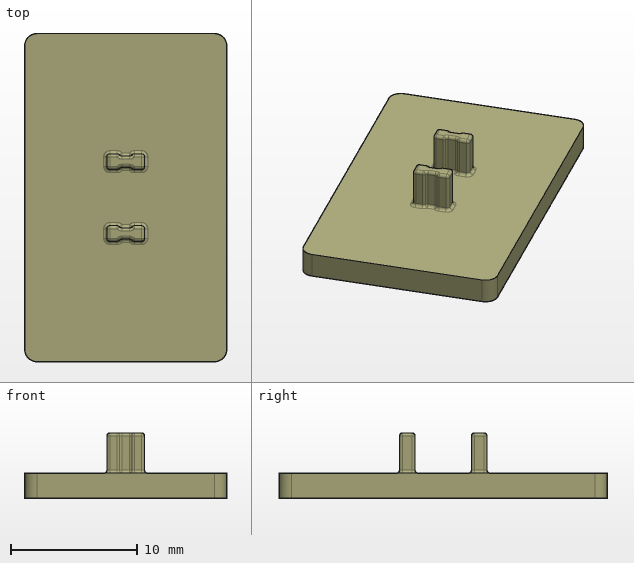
import cadquery as cq
import math

PLATE_WIDTH = 16.05
PLATE_LENGTH = 26.05
PLATE_THICKNESS = 2.0
PLATE_CORNER_RADIUS = 1.0

TOTAL_HEIGHT = 5.2
STEM_HEIGHT = TOTAL_HEIGHT - PLATE_THICKNESS
STEM_SPACING = 5.7
STEM_WIDTH = 3.0
STEM_DEPTH = 1.25
STEM_ROUNDING = 0.25

WAIST_INSET = 0.175
WAIST_FLAT_WIDTH = 0.6
BEND_DROP = WAIST_INSET / 2
BEND_RUN = math.sqrt(2 * STEM_ROUNDING * BEND_DROP - BEND_DROP**2)


def make_plate():
    """Flat plate with rounded corners, its underside on Z = 0."""
    plate = cq.Workplane("XY").box(
        PLATE_WIDTH, PLATE_LENGTH, PLATE_THICKNESS, centered=(True, True, False)
    )
    return plate.edges("|Z").fillet(PLATE_CORNER_RADIUS)


def stem_outline():
    """Waisted outline of one stem, centred on the Z axis at the plate's top face."""
    half_width = STEM_WIDTH / 2
    half_depth = STEM_DEPTH / 2
    corner_x = half_width - STEM_ROUNDING
    corner_y = half_depth - STEM_ROUNDING
    waist_x = WAIST_FLAT_WIDTH / 2
    waist_y = half_depth - WAIST_INSET
    bend_x = waist_x + BEND_RUN
    bend_y = waist_y + BEND_DROP
    shoulder_x = bend_x + BEND_RUN

    outline = cq.Workplane("XY").workplane(offset=PLATE_THICKNESS).moveTo(half_width, -corner_y)
    for turn in (1, -1):
        outline = (
            outline.lineTo(turn * half_width, turn * corner_y)
            .tangentArcPoint((turn * corner_x, turn * half_depth), relative=False)
            .lineTo(turn * shoulder_x, turn * half_depth)
            .tangentArcPoint((turn * bend_x, turn * bend_y), relative=False)
            .tangentArcPoint((turn * waist_x, turn * waist_y), relative=False)
            .lineTo(-turn * waist_x, turn * waist_y)
            .tangentArcPoint((-turn * bend_x, turn * bend_y), relative=False)
            .tangentArcPoint((-turn * shoulder_x, turn * half_depth), relative=False)
            .lineTo(-turn * corner_x, turn * half_depth)
            .tangentArcPoint((-turn * half_width, turn * corner_y), relative=False)
        )
    return outline.close()


def make_stem():
    """One stem with its top edge rounded over."""
    return stem_outline().extrude(STEM_HEIGHT).faces(">Z").edges().fillet(STEM_ROUNDING)


def fillet_stem_feet(body):
    """Blend every stem into the plate's top face."""
    half_length = STEM_SPACING / 2 + STEM_DEPTH
    foot_zone = cq.selectors.BoxSelector(
        (-STEM_WIDTH, -half_length, PLATE_THICKNESS - STEM_ROUNDING),
        (STEM_WIDTH, half_length, PLATE_THICKNESS + STEM_ROUNDING),
    )
    return body.edges(foot_zone).fillet(STEM_ROUNDING)


body = make_plate()
stem = make_stem()
for stem_y in (-STEM_SPACING / 2, STEM_SPACING / 2):
    body = body.union(stem.translate((0, stem_y, 0)))
result = fillet_stem_feet(body).solids()